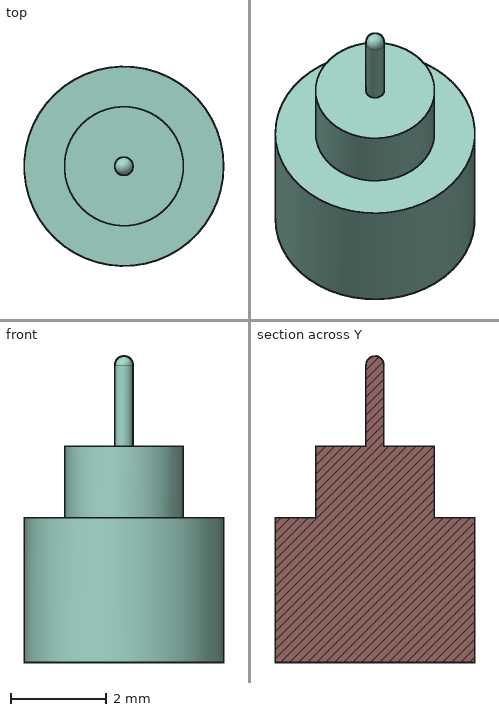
import cadquery as cq

total_height = 6.45
base_diameter = 4.2
base_height = 3.05
collar_diameter = 2.5
collar_height = 1.5
pin_diameter = 0.39

pin_radius = pin_diameter / 2
collar_top = base_height + collar_height
pin_straight_length = total_height - collar_top - pin_radius

base = cq.Workplane("XY").circle(base_diameter / 2).extrude(base_height)
body = base.faces(">Z").workplane().circle(collar_diameter / 2).extrude(collar_height)

pin_profile = (
    cq.Workplane("XZ", origin=(0, 0, collar_top))
    .lineTo(pin_radius, 0)
    .lineTo(pin_radius, pin_straight_length)
    .radiusArc((0, pin_straight_length + pin_radius), -pin_radius)
    .close()
)
pin = pin_profile.revolve(360, (0, 0, 0), (0, 1, 0))

result = body.union(pin)